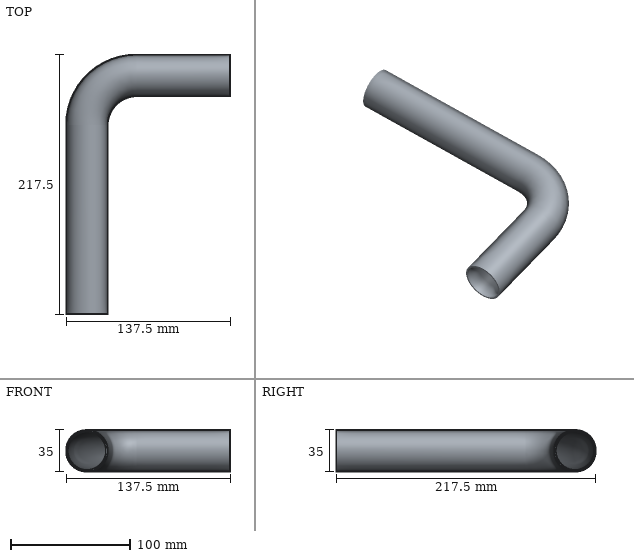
import cadquery as cq

length_x = 137.5
length_y = 217.5
outer_diameter = 35.0
inner_diameter = 32.0
bend_radius = 41.5

elbow_reach = bend_radius + outer_diameter / 2
long_leg = length_y - elbow_reach
short_leg = length_x - elbow_reach


def tube_section(plane):
    """Annular tube section centred on the given plane."""
    return cq.Workplane(plane).circle(outer_diameter / 2).circle(inner_diameter / 2)


long_tube = tube_section("XZ").extrude(long_leg)
elbow = tube_section("XZ").revolve(90, (bend_radius, 0, 0), (bend_radius, -1, 0))
short_tube = (
    tube_section(cq.Plane(origin=(bend_radius, bend_radius, 0), xDir=(0, 1, 0), normal=(1, 0, 0)))
    .extrude(short_leg)
)

result = long_tube.union(elbow).union(short_tube)